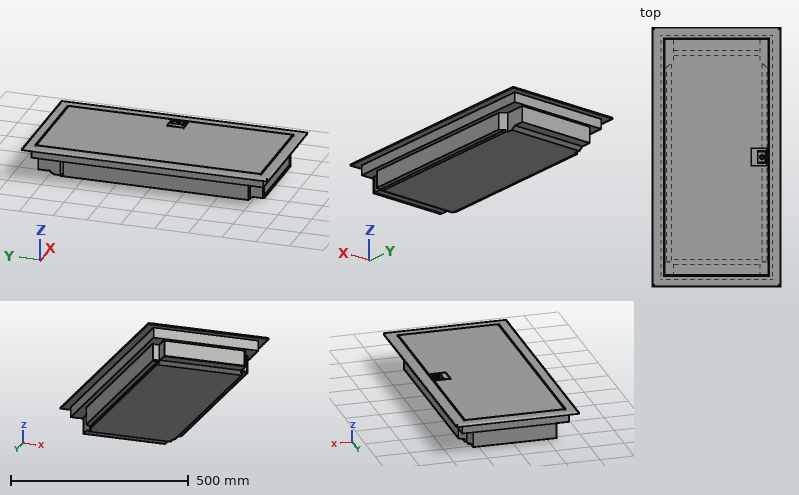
import cadquery as cq


OVERALL_HEIGHT = 95.5

FRAME_WIDTH = 360.0
FRAME_LENGTH = 728.0
FRAME_HEIGHT = 6.0
FRAME_EDGE_RADIUS = 5.5
FRAME_SIDE_BORDER = 31.0
FRAME_END_BORDER = 29.5
DOOR_GAP = 3.0
LOCK_PROTRUSION = 1.5
FRAME_TOP = OVERALL_HEIGHT - LOCK_PROTRUSION
FRAME_BOTTOM = FRAME_TOP - FRAME_HEIGHT
OPENING_WIDTH = FRAME_WIDTH - 2 * FRAME_SIDE_BORDER
OPENING_LENGTH = FRAME_LENGTH - 2 * FRAME_END_BORDER
DOOR_WIDTH = OPENING_WIDTH - 2 * DOOR_GAP
DOOR_LENGTH = OPENING_LENGTH - 2 * DOOR_GAP

COLLAR_WIDTH = 313.0
COLLAR_LENGTH = 686.0
COLLAR_HEIGHT = 30.0
COLLAR_BOTTOM = FRAME_BOTTOM - COLLAR_HEIGHT

CORE_HALF_WIDTH = 122.0
CORE_HALF_LENGTH = 334.0
CORE_END_FLOOR = 9.2
RAMP_START = 301.0
RAMP_END = 287.0
WALL_HALF_WIDTH = 142.0
WALL_FLOOR = 7.0
WALL_START = -294.0
WALL_SLANT_START = 253.0
WALL_SLANT_END = 269.0
FLOOR_HALF_WIDTH = 127.0
SHEET_THICKNESS = 2.3
WALL_RECESS_FLOOR = 11.3
END_RECESS_DEPTH = 4.5
WALL_RECESS_DEPTH = 1.0

LOCK_RIGHT = 142.0
LOCK_WIDTH = 44.0
LOCK_LENGTH = 49.0
POCKET_LEFT = 116.5
POCKET_RIGHT = 139.5
POCKET_LENGTH = 35.0
POCKET_DEPTH = 4.0
LATCH_RIGHT = 137.5
LATCH_LENGTH = 30.0
BARREL_X = 128.0
BARREL_RADIUS = 6.0
PIN_RADIUS = 4.0
LOCK_DEPTH = 6.0
POCKET_FLOOR = OVERALL_HEIGHT - POCKET_DEPTH


def block(x_min, x_max, y_min, y_max, z_min, z_max):
    """Box between opposite corners."""
    return cq.Workplane("XY").box(
        x_max - x_min, y_max - y_min, z_max - z_min, centered=False
    ).translate((x_min, y_min, z_min))


def centred_block(width, length, z_min, z_max):
    """Box centred on the Z axis."""
    return block(-width / 2, width / 2, -length / 2, length / 2, z_min, z_max)


def ramped_profile(half_width):
    """Trough section with a ramp up to each shallow end, extruded across X."""
    return (
        cq.Workplane("YZ")
        .moveTo(-CORE_HALF_LENGTH, COLLAR_BOTTOM)
        .lineTo(-CORE_HALF_LENGTH, CORE_END_FLOOR)
        .lineTo(-RAMP_START, CORE_END_FLOOR)
        .lineTo(-RAMP_END, 0)
        .lineTo(RAMP_END, 0)
        .lineTo(RAMP_START, CORE_END_FLOOR)
        .lineTo(CORE_HALF_LENGTH, CORE_END_FLOOR)
        .lineTo(CORE_HALF_LENGTH, COLLAR_BOTTOM)
        .close()
        .extrude(half_width, both=True)
    )


def slanted_plan(floor):
    """Plan of the wide trough, its +Y corners cut on a slant, from a floor up to the collar."""
    return (
        cq.Workplane("XY")
        .workplane(offset=floor)
        .moveTo(-WALL_HALF_WIDTH, WALL_START)
        .lineTo(WALL_HALF_WIDTH, WALL_START)
        .lineTo(WALL_HALF_WIDTH, WALL_SLANT_START)
        .lineTo(CORE_HALF_WIDTH, WALL_SLANT_END)
        .lineTo(-CORE_HALF_WIDTH, WALL_SLANT_END)
        .lineTo(-WALL_HALF_WIDTH, WALL_SLANT_START)
        .close()
        .extrude(COLLAR_BOTTOM - floor)
    )


def end_recess():
    """Recess in the -Y end of the trough, leaving a sheet-thick rim at its sides and bottom."""
    width = 2 * (CORE_HALF_WIDTH - SHEET_THICKNESS)
    recess = centred_block(width, END_RECESS_DEPTH, CORE_END_FLOOR + SHEET_THICKNESS, COLLAR_BOTTOM)
    return recess.translate((0, -CORE_HALF_LENGTH + END_RECESS_DEPTH / 2, 0))


def wall_recess(side):
    """Shallow recess in the -Y face of one wide side wall; side is -1 for -X and 1 for +X."""
    inner = side * CORE_HALF_WIDTH
    outer = side * (WALL_HALF_WIDTH - SHEET_THICKNESS)
    return block(min(inner, outer), max(inner, outer), WALL_START, WALL_START + WALL_RECESS_DEPTH,
                 WALL_RECESS_FLOOR, COLLAR_BOTTOM)


def make_housing():
    floor = slanted_plan(0).intersect(ramped_profile(FLOOR_HALF_WIDTH))
    housing = (
        centred_block(COLLAR_WIDTH, COLLAR_LENGTH, COLLAR_BOTTOM, FRAME_BOTTOM)
        .union(ramped_profile(CORE_HALF_WIDTH))
        .union(slanted_plan(WALL_FLOOR))
        .union(floor)
        .cut(end_recess())
    )
    for side in (-1, 1):
        housing = housing.cut(wall_recess(side))
    return housing


def make_frame():
    frame = centred_block(FRAME_WIDTH, FRAME_LENGTH, FRAME_BOTTOM, FRAME_TOP)
    frame = frame.faces(">Z").edges().fillet(FRAME_EDGE_RADIUS)
    return frame.cut(centred_block(OPENING_WIDTH, OPENING_LENGTH, FRAME_BOTTOM, FRAME_TOP))


def lock_block():
    """Whole block of the lock, let into the door and standing slightly proud of it."""
    return block(LOCK_RIGHT - LOCK_WIDTH, LOCK_RIGHT, -LOCK_LENGTH / 2, LOCK_LENGTH / 2,
                 OVERALL_HEIGHT - LOCK_DEPTH, OVERALL_HEIGHT)


def pocket_block(right, length):
    """Block standing on the lock pocket floor, from the pocket's left end to a given right end."""
    return block(POCKET_LEFT, right, -length / 2, length / 2, POCKET_FLOOR, OVERALL_HEIGHT)


def pocket_cylinder(radius):
    """Upright cylinder on the barrel axis, as high as the lock pocket is deep."""
    return (
        cq.Workplane("XY", origin=(BARREL_X, 0, POCKET_FLOOR))
        .circle(radius)
        .extrude(POCKET_DEPTH)
    )


def make_door():
    return centred_block(DOOR_WIDTH, DOOR_LENGTH, FRAME_BOTTOM, FRAME_TOP).cut(lock_block())


def make_lock_plate():
    return lock_block().cut(pocket_block(POCKET_RIGHT, POCKET_LENGTH))


def make_latch():
    return pocket_block(LATCH_RIGHT, LATCH_LENGTH).cut(pocket_cylinder(BARREL_RADIUS))


def make_barrel():
    return pocket_cylinder(BARREL_RADIUS).cut(pocket_cylinder(PIN_RADIUS))


def make_pin():
    """Domed pin that fills the bore of the barrel."""
    dome = cq.Workplane("XY", origin=(BARREL_X, 0, POCKET_FLOOR)).sphere(PIN_RADIUS)
    return dome.intersect(pocket_cylinder(PIN_RADIUS))


housing = make_housing()
frame = make_frame()
door = make_door()
lock_plate = make_lock_plate()
latch = make_latch()
barrel = make_barrel()
pin = make_pin()

result = cq.Compound.makeCompound([
    housing.val(),
    frame.val(),
    door.val(),
    lock_plate.val(),
    latch.val(),
    barrel.val(),
    pin.val(),
])